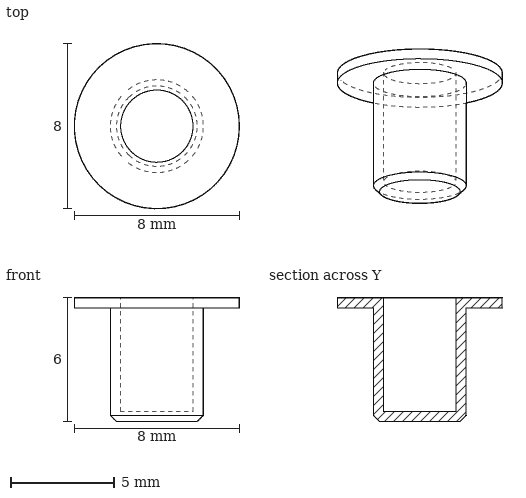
import cadquery as cq

flange_diameter = 8.0
flange_thickness = 0.5
body_diameter = 4.5
bore_diameter = 3.5
total_height = 6.0
floor_thickness = 0.5
chamfer_size = 0.3


def make_body():
    """Cylindrical sleeve with a chamfered lower rim, standing on Z = 0."""
    body = cq.Workplane("XY").circle(body_diameter / 2).extrude(total_height)
    return body.faces("<Z").edges().chamfer(chamfer_size)


def make_flange():
    """Thin disc around the open upper end of the body."""
    flange_base = total_height - flange_thickness
    return cq.Workplane("XY").workplane(offset=flange_base).circle(flange_diameter / 2).extrude(flange_thickness)


def make_bore():
    """Blind bore, open at the flange and closed by the floor."""
    bore_depth = total_height - floor_thickness
    return cq.Workplane("XY").workplane(offset=floor_thickness).circle(bore_diameter / 2).extrude(bore_depth)


result = make_body().union(make_flange()).cut(make_bore())